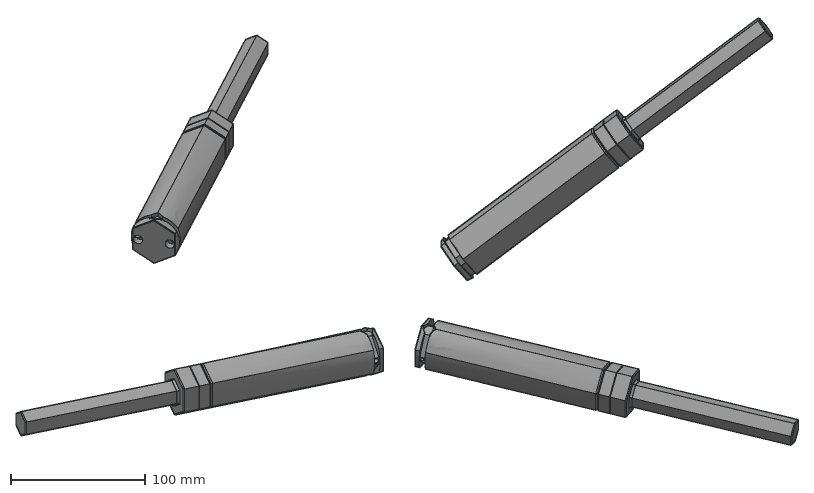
import cadquery as cq
import math

CORNER_ANGLES = range(90, 450, 60)

ROD_TIP_Y = 146.0
COLLAR_BACK_Y = 21.3
CAP_BACK_Y = 19.3
CAP_FRONT_Y = 6.5
RING_FRONT_Y = -2.5
SPACER_FRONT_Y = -3.5
HANDLE_FRONT_Y = -137.5
PLATE_BACK_Y = -142.0
PLUG_FRONT_Y = -146.0

GRIP_CORNER = 19.0
ROD_WIDTH = 17.5
ROD_CORNER = ROD_WIDTH / 2 / math.cos(math.radians(30))
COLLAR_BACK_CORNER = 10.5
COLLAR_FRONT_CORNER = 11.5
SPACER_CORNER = 18.0

EDGE_BEVEL = 1.0
SEAM_BEVEL = 0.3
PLATE_BEVEL = 0.5
HANDLE_BEVEL = 1.2
HANDLE_BEVEL_DEPTH = 0.5

HANDLE_HALF_WIDTH = 18.0
PLATE_HALF_WIDTH = 37.0 / 2
STRAIGHT_SIDES = (2, 3)

NECK_REACH = 16.4
NECK_TOP_HALF_WIDTH = 3.5
NECK_SIDE_HALF_HEIGHT = 2.5
POCKET_CORNER = 5.0
POCKET_FLOOR_Z = 15.5
CORD_HOLE_X = 12.3
CORD_HOLE_RADIUS = 3.5
CORD_OUTLET_RADIUS = 2.0

NECK_MIDDLE_Y = (HANDLE_FRONT_Y + PLATE_BACK_Y) / 2


def corner_points(corner, y):
    """Six hexagon corners at station y, starting from the top corner."""
    return [
        cq.Vector(corner * math.cos(math.radians(a)), y, corner * math.sin(math.radians(a)))
        for a in CORNER_ANGLES
    ]


def hexagon(corner, y):
    """Closed hexagonal wire across Y."""
    return cq.Wire.makePolygon(corner_points(corner, y), close=True)


def bulged_hexagon(half_width, y):
    """Hexagonal wire whose sides bulge outward, except the two at the bottom."""
    corners = corner_points(GRIP_CORNER, y)
    edges = []
    for side, start in enumerate(corners):
        end = corners[(side + 1) % len(corners)]
        if side in STRAIGHT_SIDES:
            edges.append(cq.Edge.makeLine(start, end))
            continue
        angle = math.radians(CORNER_ANGLES[side] + 30)
        middle = cq.Vector(half_width * math.cos(angle), y, half_width * math.sin(angle))
        edges.append(cq.Edge.makeThreePointArc(start, middle, end))
    return cq.Wire.assembleEdges(edges)


def neck_outline(y):
    """Neck wire with wide sloping sides between narrow flats on the X and Z axes."""
    right_half = [
        cq.Vector(NECK_TOP_HALF_WIDTH, y, NECK_REACH),
        cq.Vector(NECK_REACH, y, NECK_SIDE_HALF_HEIGHT),
        cq.Vector(NECK_REACH, y, -NECK_SIDE_HALF_HEIGHT),
        cq.Vector(NECK_TOP_HALF_WIDTH, y, -NECK_REACH),
    ]
    left_half = [cq.Vector(-point.x, y, -point.z) for point in right_half]
    return cq.Wire.makePolygon(right_half + left_half, close=True)


def loft(*wires):
    """Solid with straight walls through the wires."""
    return cq.Workplane(cq.Solid.makeLoft(list(wires), True))


def cylinder(radius, start, end):
    """Round bar from one point to another."""
    axis = cq.Vector(*end) - cq.Vector(*start)
    return cq.Workplane(cq.Solid.makeCylinder(radius, axis.Length, cq.Vector(*start), axis))


def hex_pocket():
    """Upright hexagonal cutter spanning the neck, with two corners along Y."""
    return (
        cq.Workplane("XY", origin=(0, NECK_MIDDLE_Y, POCKET_FLOOR_Z))
        .transformed(rotate=(0, 0, 90))
        .polygon(6, 2 * POCKET_CORNER)
        .extrude(GRIP_CORNER)
    )


def make_rod():
    return loft(
        hexagon(ROD_CORNER, CAP_BACK_Y),
        hexagon(ROD_CORNER, ROD_TIP_Y - EDGE_BEVEL),
        hexagon(ROD_CORNER - EDGE_BEVEL, ROD_TIP_Y),
    )


def make_collar(rod):
    collar = loft(
        hexagon(COLLAR_FRONT_CORNER, CAP_BACK_Y),
        hexagon(COLLAR_BACK_CORNER, COLLAR_BACK_Y),
    )
    return collar.cut(rod)


def make_cap():
    return loft(
        hexagon(GRIP_CORNER - SEAM_BEVEL, CAP_FRONT_Y),
        hexagon(GRIP_CORNER, CAP_FRONT_Y + SEAM_BEVEL),
        hexagon(GRIP_CORNER, CAP_BACK_Y - EDGE_BEVEL),
        hexagon(GRIP_CORNER - EDGE_BEVEL, CAP_BACK_Y),
    )


def make_ring():
    return loft(
        hexagon(GRIP_CORNER, RING_FRONT_Y),
        hexagon(GRIP_CORNER, CAP_FRONT_Y - SEAM_BEVEL),
        hexagon(GRIP_CORNER - SEAM_BEVEL, CAP_FRONT_Y),
    )


def make_spacer():
    return loft(
        hexagon(SPACER_CORNER, SPACER_FRONT_Y),
        hexagon(SPACER_CORNER, RING_FRONT_Y),
    )


def make_handle():
    bevel_y = SPACER_FRONT_Y - HANDLE_BEVEL
    bevelled_end = loft(
        hexagon(GRIP_CORNER - HANDLE_BEVEL_DEPTH, SPACER_FRONT_Y),
        hexagon(GRIP_CORNER, bevel_y),
    )
    grip = loft(hexagon(GRIP_CORNER, bevel_y), bulged_hexagon(HANDLE_HALF_WIDTH, HANDLE_FRONT_Y))
    return grip.union(bevelled_end).cut(hex_pocket())


def cut_cord_passage(plug, side):
    """Hole from the front face into the neck, with an outlet through the neck's side."""
    x = side * CORD_HOLE_X
    entry = cylinder(CORD_HOLE_RADIUS, (x, PLUG_FRONT_Y, 0), (x, NECK_MIDDLE_Y, 0))
    outlet = cylinder(CORD_OUTLET_RADIUS, (x, NECK_MIDDLE_Y, 0), (side * GRIP_CORNER, NECK_MIDDLE_Y, 0))
    return plug.cut(entry).cut(outlet)


def make_plug():
    neck = loft(neck_outline(HANDLE_FRONT_Y), neck_outline(PLATE_BACK_Y))
    rim_y = PLUG_FRONT_Y + PLATE_BEVEL
    plate = loft(bulged_hexagon(PLATE_HALF_WIDTH, PLATE_BACK_Y), hexagon(GRIP_CORNER, rim_y))
    front = loft(hexagon(GRIP_CORNER, rim_y), hexagon(GRIP_CORNER - PLATE_BEVEL, PLUG_FRONT_Y))
    plug = plate.union(front).union(neck).cut(hex_pocket())
    for side in (-1, 1):
        plug = cut_cord_passage(plug, side)
    return plug


rod = make_rod()
collar = make_collar(rod)
cap = make_cap()
ring = make_ring()
spacer = make_spacer()
handle = make_handle()
plug = make_plug()

result = cq.Compound.makeCompound([
    rod.val(),
    collar.val(),
    cap.val(),
    ring.val(),
    spacer.val(),
    handle.val(),
    plug.val(),
])